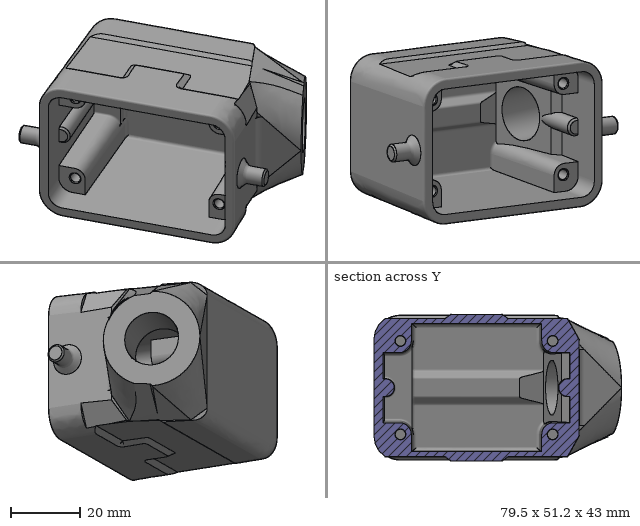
import cadquery as cq
import math


BODY_LENGTH = 60.0
BODY_WIDTH = 43.0
BODY_DEPTH = 46.0
BODY_CORNER_RADIUS = 7.5
BODY_SHRINK = 1.5
BACK_EDGE_RADIUS = 3.8
RIM_EDGE_RADIUS = 0.6
WALL = 2.93

CAVITY_LENGTH = BODY_LENGTH - 2 * WALL
CAVITY_WIDTH = BODY_WIDTH - 2 * WALL
CAVITY_DEPTH = 43.0
CAVITY_CORNER_RADIUS = 4.2
CAVITY_SHRINK = 0.9
CAVITY_FLOOR_RADIUS = 0.9

SCREW_PITCH_X = 44.0
SCREW_PITCH_Z = 27.0
SCREW_HOLE_DIAMETER = 3.0
SCREW_SINK_DIAMETER = 3.6
SCREW_HOLE_DEPTH = 12.0
POST_START = 9.0
POST_INNER_X = 18.9
POST_INNER_Z = 10.2
POST_ROUND = 3.3
POST_DRAFT = 0.7

GUIDE_RADIUS = 2.6
GUIDE_TIP_X = 23.7
GUIDE_EDGE = 0.6

SHELF_EDGE_X = -18.6
SHELF_FILLET = 0.6
SHELF_START = 39.0
RIB_START = 40.0
RIB_BASE_HALF = 4.7
RIB_TOP_HALF = 2.9
RIB_SLOPE_X = 12.4
RIB_END_X = 19.6
RIB_EDGE_RADIUS = 0.8
RIB_FOOT_RADIUS = 1.0

INNER_WALL = [(26.9, 18.0), (24.6, 20.5), (19.4, CAVITY_DEPTH)]

PIN_TIP_X = 37.5
PIN_Y = 6.2
PIN_RADIUS = 2.6
PIN_CHAMFER = 0.5
PIN_COLLAR_RADIUS = 4.6
PIN_BLEND = 1.2
PIN_COLLAR_X = 29.7

OUTLET_TILT = 16.0
OUTLET_RADIUS = 14.2
OUTLET_TOP_Y = 51.18
OUTLET_OVERHANG = 4.46
OUTLET_TIP_X = PIN_TIP_X + OUTLET_OVERHANG
BORE_DIAMETER = 15.8
FOOT_LENGTH = 1.5
FOOT_HALF_WIDTH = 11.0
FOOT_SINK = 1.0

ROOT_BACK = (19.0, BODY_DEPTH, 17.0)
ROOT_SIDE_BACK = (21.5, 42.0, 20.7)
ROOT_SIDE_RIM = (25.9, 24.3, 19.9)
ROOT_RIM = (29.65, 20.4, 12.5)

FLAT_START = 10.6
FLAT_SIDE = (26.2, 20.2)
FLAT_END = (29.7, 13.9)

RECESS_FLOOR_Z = 20.0
RECESS_RIM_Y = 13.8
RECESS_BACK_Y = 32.7
RECESS_SLOPE = 54.0
TAB_HALF_LENGTH = 9.15
TAB_TOP_Y = 22.0
TAB_ROUND = 2.0
TAB_MARGIN = 2.0

STEP_ROOT_X = 24.7
STEP_RISE = 0.5
STEP_MOUTH_Z = 13.6
STEP_TILT = 4.0
STEP_MARGIN = 2.0

OVERCUT = 20.0


def drafted_block(length, width, radius, depth, shrink):
    """Rounded rectangle on Y = 0 that narrows evenly towards +Y."""
    near = cq.Sketch().rect(length, width).vertices().fillet(radius)
    far = cq.Sketch().rect(length - shrink, width - shrink).vertices().fillet(radius)
    far = far.moved(cq.Location(cq.Vector(0, 0, -depth)))
    return cq.Workplane("XZ").placeSketch(near, far).loft()


def both_sides(shape):
    """The shape and its mirror image across Z = 0."""
    return shape.union(shape.mirror("XY"))


def prism_across_z(points, half_width):
    """Closed XY outline extruded evenly to both sides of Z = 0."""
    return cq.Workplane("XY").polyline(points).close().extrude(half_width, both=True)


def make_body():
    body = drafted_block(BODY_LENGTH, BODY_WIDTH, BODY_CORNER_RADIUS, BODY_DEPTH, BODY_SHRINK)
    body = body.faces(">Y").edges().fillet(BACK_EDGE_RADIUS)
    body = body.faces("<Y").edges().fillet(RIM_EDGE_RADIUS)

    root_line = [point[:2] for point in (ROOT_BACK, ROOT_SIDE_BACK, ROOT_SIDE_RIM, ROOT_RIM)]
    far_x = BODY_LENGTH / 2 + OVERCUT
    far_y = BODY_DEPTH + OVERCUT
    trim = root_line + [(far_x, ROOT_RIM[1]), (far_x, far_y), (ROOT_BACK[0], far_y)]
    body = body.cut(prism_across_z(trim, BODY_WIDTH))

    outer_corner = (BODY_LENGTH / 2, BODY_WIDTH / 2)
    run = (FLAT_END[0] - FLAT_SIDE[0]) / (FLAT_SIDE[1] - FLAT_END[1])
    flat = (
        cq.Workplane("XZ", origin=(0, FLAT_START, 0))
        .polyline([
            (FLAT_SIDE[0] - run * (outer_corner[1] - FLAT_SIDE[1]), outer_corner[1]),
            (outer_corner[0], FLAT_END[1] - (outer_corner[0] - FLAT_END[0]) / run),
            outer_corner,
        ])
        .close()
        .extrude(-BODY_DEPTH)
    )
    return body.cut(both_sides(flat))


def make_side_recess():
    """Cutter for both broad sides, leaving a raised tab at the rim edge."""
    reach = BODY_LENGTH / 2 + OVERCUT
    outline = (
        cq.Sketch()
        .polygon([
            (-reach, RECESS_RIM_Y),
            (-TAB_HALF_LENGTH, RECESS_RIM_Y),
            (-TAB_HALF_LENGTH, TAB_TOP_Y),
            (TAB_HALF_LENGTH, TAB_TOP_Y),
            (TAB_HALF_LENGTH, RECESS_RIM_Y),
            (reach, RECESS_RIM_Y),
            (reach, RECESS_BACK_Y),
            (-reach, RECESS_BACK_Y),
            (-reach, RECESS_RIM_Y),
        ])
    )
    height = BODY_WIDTH / 2 - RECESS_FLOOR_Z
    recess = (
        cq.Workplane("XY", origin=(0, 0, RECESS_FLOOR_Z))
        .placeSketch(outline)
        .extrude(height, taper=-RECESS_SLOPE)
    )
    tab_corners = cq.selectors.BoxSelector(
        (-TAB_HALF_LENGTH - TAB_MARGIN, RECESS_RIM_Y - TAB_MARGIN, RECESS_FLOOR_Z + height / 4),
        (TAB_HALF_LENGTH + TAB_MARGIN, TAB_TOP_Y + TAB_MARGIN, BODY_WIDTH / 2 - height / 4),
    )
    recess = recess.edges(tab_corners).fillet(TAB_ROUND)
    return both_sides(recess)


def outlet_frame():
    """Centre of the outlet mouth and the unit directions along and across it in XY."""
    tilt = math.radians(OUTLET_TILT)
    along = cq.Vector(math.cos(tilt), math.sin(tilt), 0)
    across = cq.Vector(-math.sin(tilt), math.cos(tilt), 0)
    centre = cq.Vector(
        OUTLET_TIP_X + OUTLET_RADIUS * across.x,
        OUTLET_TOP_Y - OUTLET_RADIUS * across.y,
        0,
    )
    return centre, along, across


def make_flank_step():
    """Cutter that lowers the rim half of both outlet flanks, sloping with the flank."""
    centre, along, across = outlet_frame()
    root = cq.Vector(STEP_ROOT_X, RECESS_BACK_Y + STEP_RISE, RECESS_FLOOR_Z)
    run = (centre - root).dot(along)
    slope = (along * run + cq.Vector(0, 0, STEP_MOUTH_Z - RECESS_FLOOR_Z)).normalized()
    height = 2 * OUTLET_RADIUS
    step = (
        cq.Workplane(cq.Plane(root - slope * STEP_MARGIN, across, slope))
        .polyline([
            (0, 0),
            (height * math.tan(math.radians(RECESS_SLOPE)), height),
            (-height, height),
            (-height, -height * math.tan(math.radians(STEP_TILT))),
        ])
        .close()
        .extrude(2 * run)
    )
    return both_sides(step)


def make_outlet():
    """Transition from the eight-cornered root to the round mouth."""
    centre, _, across = outlet_frame()
    side = cq.Vector(0, 0, 1)

    def mouth(degrees):
        angle = math.radians(degrees)
        offset = across * math.cos(angle) + side * math.sin(angle)
        return centre + offset * OUTLET_RADIUS

    def flat_face(*points):
        return cq.Face.makeFromWires(cq.Wire.makePolygon(points, close=True))

    half = [ROOT_BACK, ROOT_SIDE_BACK, ROOT_SIDE_RIM, ROOT_RIM]
    plus = [cq.Vector(*point) for point in half]
    minus = [cq.Vector(x, y, -z) for x, y, z in half]
    root = plus + minus[::-1]

    faces = [flat_face(plus[i], plus[i + 1], minus[i + 1], minus[i]) for i in range(len(half) - 1)]
    arcs = []
    for quarter in range(4):
        start = 90 * quarter
        arc = cq.Edge.makeThreePointArc(mouth(start), mouth(start + 45), mouth(start + 90))
        first = root[2 * quarter]
        second = root[2 * quarter + 1]
        arcs.append(arc)
        faces.append(cq.Face.makeRuledSurface(cq.Edge.makeLine(first, second), arc))
        faces.append(flat_face(second, root[(2 * quarter + 2) % len(root)], mouth(start + 90)))
    faces.append(cq.Face.makeFromWires(cq.Wire.assembleEdges(arcs)))
    shell = cq.Shell.makeShell(faces)
    return cq.Workplane(cq.Solid.makeSolid(shell)).cut(make_flank_step())


def make_outlet_foot():
    """Round blend between the end wall and the underside of the outlet."""
    centre, _, across = outlet_frame()
    corner = cq.Vector(ROOT_RIM[0], ROOT_RIM[1], 0)
    underside = (centre - across * OUTLET_RADIUS - corner).normalized()
    outer = corner + underside * FOOT_LENGTH
    return (
        cq.Workplane("XY", origin=(0, 0, -FOOT_HALF_WIDTH))
        .moveTo(corner.x, corner.y - FOOT_LENGTH - FOOT_SINK)
        .lineTo(corner.x, corner.y - FOOT_LENGTH)
        .tangentArcPoint((outer.x, outer.y), relative=False)
        .lineTo(corner.x, corner.y + FOOT_LENGTH / 2)
        .lineTo(corner.x - FOOT_SINK, corner.y)
        .lineTo(corner.x - FOOT_SINK, corner.y - FOOT_LENGTH - FOOT_SINK)
        .close()
        .extrude(2 * FOOT_HALF_WIDTH)
    )


def make_bore():
    centre, along, _ = outlet_frame()
    length = centre.x - INNER_WALL[-1][0]
    return cq.Workplane(
        cq.Solid.makeCylinder(BORE_DIAMETER / 2, length, centre, along * -1)
    )


def make_post():
    """Corner post at +X +Z, reaching past the cavity walls."""
    depth = CAVITY_DEPTH - POST_START
    draft = math.degrees(math.atan(POST_DRAFT / depth))
    size_x = BODY_LENGTH / 2 - POST_INNER_X
    size_z = BODY_WIDTH / 2 - POST_INNER_Z
    return (
        cq.Workplane("XZ", origin=(POST_INNER_X + size_x / 2, POST_START, POST_INNER_Z + size_z / 2))
        .sketch()
        .rect(size_x, size_z)
        .vertices("<X and <Y")
        .fillet(POST_ROUND)
        .finalize()
        .extrude(-depth, taper=-draft)
    )


def make_guide():
    """Half-round guide on the +X end wall."""
    centre_x = GUIDE_TIP_X + GUIDE_RADIUS
    wall_x = BODY_LENGTH / 2
    return (
        cq.Workplane("XZ", origin=(0, POST_START, 0))
        .moveTo(wall_x, -GUIDE_RADIUS)
        .lineTo(centre_x, -GUIDE_RADIUS)
        .threePointArc((GUIDE_TIP_X, 0), (centre_x, GUIDE_RADIUS))
        .lineTo(wall_x, GUIDE_RADIUS)
        .close()
        .extrude(-(CAVITY_DEPTH - POST_START))
        .faces("<Y")
        .edges("not >X")
        .chamfer(GUIDE_EDGE)
    )


def make_rib():
    """Floor rib, on a slab sunk in the floor, with sloping flanks and a ramped +X end."""
    slab_depth = CAVITY_DEPTH + RIB_FOOT_RADIUS
    slab_half = RIB_BASE_HALF + 2 * RIB_FOOT_RADIUS
    rib = (
        cq.Workplane("YZ", origin=(SHELF_EDGE_X, 0, 0))
        .polyline([
            (slab_depth, -slab_half),
            (CAVITY_DEPTH, -slab_half),
            (CAVITY_DEPTH, -RIB_BASE_HALF),
            (RIB_START, -RIB_TOP_HALF),
            (RIB_START, RIB_TOP_HALF),
            (CAVITY_DEPTH, RIB_BASE_HALF),
            (CAVITY_DEPTH, slab_half),
            (slab_depth, slab_half),
        ])
        .close()
        .extrude(RIB_END_X - SHELF_EDGE_X)
    )
    foot = cq.selectors.BoxSelector(
        (SHELF_EDGE_X, CAVITY_DEPTH - RIB_FOOT_RADIUS / 2, -RIB_BASE_HALF - RIB_FOOT_RADIUS),
        (RIB_END_X, CAVITY_DEPTH + RIB_FOOT_RADIUS / 2, RIB_BASE_HALF + RIB_FOOT_RADIUS),
    )
    rib = rib.edges("|X").edges(foot).fillet(RIB_FOOT_RADIUS)
    rib = rib.faces("<Y").edges("|X").fillet(RIB_EDGE_RADIUS)
    ramp = prism_across_z(
        [(RIB_SLOPE_X, RIB_START), (RIB_END_X, RIB_START), (RIB_END_X, CAVITY_DEPTH)],
        BODY_WIDTH,
    )
    return rib.cut(ramp)


def make_cavity():
    """Hollow of the hood, less the posts, guides, shelf and rib standing in it."""
    cavity = drafted_block(
        CAVITY_LENGTH, CAVITY_WIDTH, CAVITY_CORNER_RADIUS, CAVITY_DEPTH, CAVITY_SHRINK
    )

    far_x = BODY_LENGTH / 2
    behind_outlet = [(far_x, INNER_WALL[0][1])] + INNER_WALL + [(far_x, CAVITY_DEPTH)]
    cavity = cavity.cut(prism_across_z(behind_outlet, BODY_WIDTH))

    shelf = [
        (SHELF_EDGE_X, SHELF_START),
        (SHELF_EDGE_X, CAVITY_DEPTH),
        (-far_x, CAVITY_DEPTH),
        (-far_x, SHELF_START),
    ]
    cavity = cavity.cut(prism_across_z(shelf, BODY_WIDTH)).cut(make_rib())

    posts = both_sides(make_post())
    guide = make_guide()
    for fitting in (posts, guide):
        cavity = cavity.cut(fitting).cut(fitting.mirror("YZ"))

    foot_edges = cavity.faces(">Y").edges(">Z or <Z or (not |X)").edges("not >X")
    cavity = foot_edges.fillet(CAVITY_FLOOR_RADIUS)
    on_shelf = cq.selectors.BoxSelector(
        (-far_x, SHELF_START - SHELF_FILLET / 2, -BODY_WIDTH),
        (SHELF_EDGE_X - SHELF_FILLET, SHELF_START + SHELF_FILLET / 2, BODY_WIDTH),
    )
    return cavity.edges(on_shelf).edges("|X").fillet(SHELF_FILLET)


def make_screw_holes():
    sink = (SCREW_SINK_DIAMETER - SCREW_HOLE_DIAMETER) / 2
    profile = [
        (0, 0),
        (SCREW_SINK_DIAMETER / 2, 0),
        (SCREW_HOLE_DIAMETER / 2, sink),
        (SCREW_HOLE_DIAMETER / 2, SCREW_HOLE_DEPTH),
        (0, SCREW_HOLE_DEPTH),
    ]
    hole = cq.Workplane("XY").polyline(profile).close().revolve(360, (0, 0), (0, 1))
    holes = cq.Workplane()
    for x in (-SCREW_PITCH_X / 2, SCREW_PITCH_X / 2):
        for z in (-SCREW_PITCH_Z / 2, SCREW_PITCH_Z / 2):
            holes = holes.add(hole.translate((x, POST_START, z)))
    return holes.combine()


def make_pins():
    """Pins on both end walls, each with a conical collar blended at both ends."""
    inside_x = BODY_LENGTH / 2 - WALL / 2
    flange_radius = PIN_COLLAR_RADIUS + PIN_BLEND
    pin = (
        cq.Workplane("XY")
        .polyline([
            (inside_x, 0),
            (inside_x, flange_radius),
            (PIN_COLLAR_X, flange_radius),
            (PIN_COLLAR_X, PIN_COLLAR_RADIUS),
            (PIN_COLLAR_X + PIN_COLLAR_RADIUS - PIN_RADIUS, PIN_RADIUS),
            (PIN_TIP_X, PIN_RADIUS),
            (PIN_TIP_X, 0),
        ])
        .close()
        .revolve(360, (0, 0), (1, 0))
    )
    pin = pin.faces(">X").edges().chamfer(PIN_CHAMFER)
    collar = cq.selectors.BoxSelector(
        (PIN_COLLAR_X - PIN_BLEND / 2, -PIN_COLLAR_RADIUS, -PIN_COLLAR_RADIUS),
        (PIN_TIP_X - 2 * PIN_CHAMFER, PIN_COLLAR_RADIUS, PIN_COLLAR_RADIUS),
    )
    pin = pin.faces("%CONE").faces(collar).edges("%CIRCLE").fillet(PIN_BLEND)
    pin = pin.translate((0, PIN_Y, 0))
    return pin.union(pin.mirror("YZ"))


hood = make_body().cut(make_side_recess()).union(make_outlet()).union(make_outlet_foot())
hood = hood.cut(make_cavity()).cut(make_bore())
result = hood.cut(make_screw_holes()).union(make_pins())